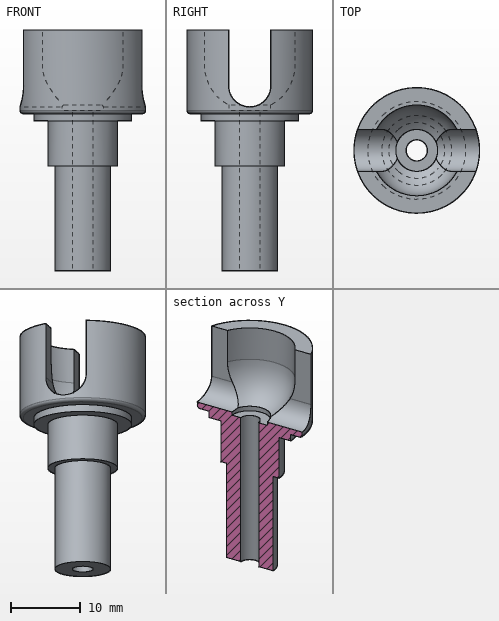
import cadquery as cq

shaft_diameter = 8.0
shaft_length = 15.0
collar_diameter = 10.0
collar_length = 6.5
flange_diameter = 14.0
flange_thickness = 1.0
cup_diameter = 18.0
total_length = 34.5
cup_edge_radius = 0.5

bore_diameter = 13.0
bore_depth = 5.0
seat_diameter = 6.0
bore_radius = bore_diameter / 2
seat_depth = bore_depth + bore_radius
hole_diameter = 3.0

slot_width = 6.0
slot_depth = 11.0

collar_base = shaft_length
flange_base = collar_base + collar_length
cup_base = flange_base + flange_thickness
cup_height = total_length - cup_base


def cylinder(diameter, base, height):
    """Cylinder on the Z axis, starting at the given level."""
    return cq.Workplane("XY").workplane(offset=base).circle(diameter / 2).extrude(height)


def make_body():
    """Solid stepped shaft carrying the cup blank."""
    cup = cylinder(cup_diameter, cup_base, cup_height).faces("<Z").edges().fillet(cup_edge_radius)
    return (
        cylinder(shaft_diameter, 0, shaft_length)
        .union(cylinder(collar_diameter, collar_base, collar_length))
        .union(cylinder(flange_diameter, flange_base, flange_thickness))
        .union(cup)
    )


def make_cavity():
    """Bore with a spherical bowl, a flat round seat and an axial through hole."""
    bowl_level = total_length - bore_depth
    bowl = cq.Workplane("XY").sphere(bore_radius).translate((0, 0, bowl_level))
    return (
        cylinder(bore_diameter, bowl_level, bore_depth)
        .union(bowl)
        .union(cylinder(seat_diameter, total_length - seat_depth, seat_depth))
        .union(cylinder(hole_diameter, 0, total_length))
    )


def make_slot():
    """Round-bottomed slot crossing the whole cup along X, open at the rim."""
    half_width = slot_width / 2
    bottom = total_length - slot_depth
    arc_level = bottom + half_width
    return (
        cq.Workplane("YZ")
        .moveTo(-half_width, total_length)
        .lineTo(-half_width, arc_level)
        .threePointArc((0, bottom), (half_width, arc_level))
        .lineTo(half_width, total_length)
        .close()
        .extrude(cup_diameter, both=True)
    )


result = make_body().cut(make_cavity()).cut(make_slot())